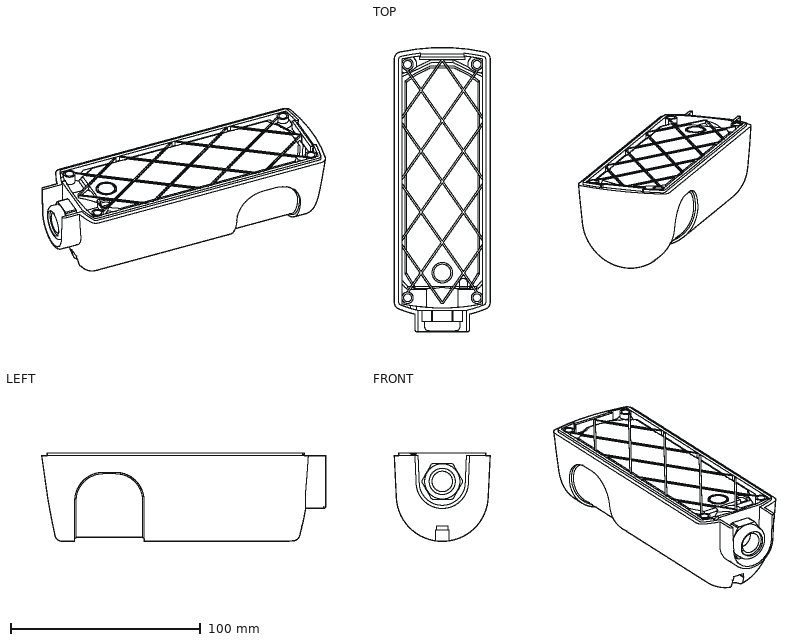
import cadquery as cq
import math


HALF_WIDTH = 25.3
HULL_DEPTH = 45.2
BELLY_RADIUS = 24.3
BACK_Y = 74.9
BACK_BOW_RADIUS = 104.8
FRONT_Y = -67.4
FRONT_BOW_RADIUS = 59.9
BACK_LEAN = 7.8
BACK_LEAN_MIDWAY = 3.3
FRONT_LEAN = 6.9
FRONT_LEAN_MIDWAY = 2.2
END_FILLET = 3.9

GRIP_Y = 39.1
GRIP_WIDTH = 36.5
GRIP_TOP_Z = -8.8
GRIP_CORNER_RADIUS = 15.0
GRIP_INSET = 2.1
GRIP_ROOT_CHAMFER = 0.7

LIP_HEIGHT = 1.3
LIP_SETBACK = 2.4
LIP_SCALLOP_X = -15.1
LIP_SCALLOP_RADIUS = 1.8
LIP_SCALLOP_DEPTH = 1.0
TRAY_HALF_WIDTH = 21.1
TRAY_FRONT_Y = -62.3
TRAY_BACK_Y = 71.0
TRAY_BOW_RADIUS = 104.8
TRAY_FLOOR_Z = -3.9
LEDGE_Z = -1.5
PLATEAU_Z = 0.1
STEP_SLOPE = 30.0
PLATEAU_FRONT_Y = -51.0
FINGER_NOTCH_X = 11.1
FINGER_NOTCH_RADIUS = 2.1
FINGER_NOTCH_LENGTH = 4.3
FINGER_NOTCH_Z = -1.0
BUTTON_Y = -43.7
BUTTON_RADIUS = 4.5
BUTTON_GROOVE_WIDTH = 0.9
BUTTON_GROOVE_DEPTH = 0.7

RIB_TOP_Z = 0.7
RIB_WIDTH = 0.9
RIB_PITCH_X = 22.3
RIB_PITCH_Y = 32.0
RIB_FRONT_Y = -59.9
RIB_BACK_Y = 68.6

BOSS_X = 18.3
BOSS_FRONT_Y = -56.9
BOSS_BACK_Y = 65.9
BOSS_PLACES = [(side * BOSS_X, y) for side in (-1, 1) for y in (BOSS_FRONT_Y, BOSS_BACK_Y)]
BOSS_RADIUS = 3.0
BOSS_FOOT_RADIUS = 4.8
BOSS_FOOT_HEIGHT = 2.1
BOSS_HOLE_RADIUS = 2.1
BOSS_HOLE_DEPTH = 6.0
BOSS_TOP_Z = 1.0

LATCH_HALF_WIDTH = 12.0
LATCH_FRONT_Y = 68.5
LATCH_BACK_Y = 71.9
LATCH_SLOT_HALF_WIDTH = 11.4
LATCH_SLOT_FRONT_Y = 70.0
LATCH_GROOVE_BACK_Y = 71.3
LATCH_GROOVE_DEPTH = 3.0

COLLAR_FRONT_Y = -74.9
COLLAR_BACK_Y = -60.6
COLLAR_TOP_HALF_WIDTH = 14.4
COLLAR_RADIUS = 13.8
COLLAR_CENTRE_Z = -14.1
COLLAR_WALL = 1.6
COLLAR_RIM_FILLET = 1.2
RECESS_WALL_Y = -63.5
GLAND_Z = -13.6
HEX_ACROSS_CORNERS = 21.9
HEX_CORNER_CHAMFER = 0.5
HEX_LENGTH = 6.0
CAP_RADIUS = 9.3
CAP_LENGTH = 4.8
CAP_FILLET = 2.1
BORE_RADIUS = 5.4
BORE_DEPTH = 9.0
COUNTERBORE_RADIUS = 6.9
COUNTERBORE_DEPTH = 1.2
SLEEVE_HALF_WIDTH = 8.2
SLEEVE_TOP_Z = -0.7

SLOT_WIDTH = 6.3
SLOT_TOP_Z = -37.0
SLOT_BACK_Y = -55.3
SLOT_LOWER_WIDTH = 7.2
SLOT_LOWER_BACK_Y = -54.7
SLOT_STEP_Z = -39.2


def hull_section(inset=0.0):
    """U section in XZ: drafted flanks running tangent into a round belly."""
    half = HALF_WIDTH - inset
    radius = BELLY_RADIUS - inset
    centre_z = BELLY_RADIUS - HULL_DEPTH
    draft = math.acos(radius / math.hypot(half, centre_z)) - math.atan2(-centre_z, half)
    spring_x = radius * math.cos(draft)
    spring_z = centre_z - radius * math.sin(draft)
    return (
        cq.Workplane("XZ")
        .moveTo(-half, 0)
        .lineTo(-spring_x, spring_z)
        .threePointArc((0, centre_z - radius), (spring_x, spring_z))
        .lineTo(half, 0)
        .close()
    )


def bowed_disc(radius, centre_y, lean, lean_midway):
    """Disc whose curved, leaning edge forms one end of the hull."""
    return (
        cq.Workplane("XZ", origin=(0, centre_y, 0))
        .lineTo(radius, 0)
        .threePointArc((radius - lean_midway, -HULL_DEPTH / 2), (radius - lean, -HULL_DEPTH))
        .lineTo(0, -HULL_DEPTH)
        .close()
        .revolve(360, (0, 0, 0), (0, 1, 0))
    )


def make_hull():
    back = hull_section().extrude(-BACK_Y)
    back_disc = bowed_disc(BACK_BOW_RADIUS, BACK_Y - BACK_BOW_RADIUS, BACK_LEAN, BACK_LEAN_MIDWAY)
    back = back.intersect(back_disc)
    back = back.faces(">Y").edges("not >Z").fillet(END_FILLET)
    front = hull_section().extrude(-FRONT_Y)
    front_disc = bowed_disc(FRONT_BOW_RADIUS, FRONT_Y + FRONT_BOW_RADIUS, FRONT_LEAN, FRONT_LEAN_MIDWAY)
    front = front.intersect(front_disc)
    front = front.faces("<Y").edges("not >Z").fillet(END_FILLET)
    return back.union(front)


def make_grip_cut():
    arch = (
        cq.Workplane("YZ", origin=(-HALF_WIDTH, 0, 0))
        .center(GRIP_Y, GRIP_TOP_Z - HULL_DEPTH / 2)
        .rect(GRIP_WIDTH, HULL_DEPTH)
        .extrude(2 * HALF_WIDTH)
        .edges("|X and >Z")
        .fillet(GRIP_CORNER_RADIUS)
    )
    core = hull_section(GRIP_INSET).extrude(-BACK_Y)
    return arch.cut(core).edges("not (<X or >X or <Z or |X)").chamfer(GRIP_ROOT_CHAMFER)


def bowed_plan(half_width, front_y, front_radius, back_y, back_radius, z):
    """Rectangle in plan with arcs for its two ends, given by the apex of each arc."""
    front_corner = front_y + front_radius - math.sqrt(front_radius**2 - half_width**2)
    back_corner = back_y - back_radius + math.sqrt(back_radius**2 - half_width**2)
    return (
        cq.Workplane("XY", origin=(0, 0, z))
        .moveTo(-half_width, front_corner)
        .threePointArc((0, front_y), (half_width, front_corner))
        .lineTo(half_width, back_corner)
        .threePointArc((0, back_y), (-half_width, back_corner))
        .close()
    )


def make_lip():
    return (
        bowed_plan(
            HALF_WIDTH - LIP_SETBACK,
            FRONT_Y + LIP_SETBACK,
            FRONT_BOW_RADIUS - LIP_SETBACK,
            BACK_Y - LIP_SETBACK,
            BACK_BOW_RADIUS - LIP_SETBACK,
            0,
        )
        .extrude(LIP_HEIGHT)
        .edges("|Z")
        .fillet(END_FILLET - LIP_SETBACK)
    )


def make_lip_scallop():
    centre_z = LIP_HEIGHT + LIP_SCALLOP_RADIUS - LIP_SCALLOP_DEPTH
    return (
        cq.Workplane("XZ", origin=(LIP_SCALLOP_X, PLATEAU_FRONT_Y, centre_z))
        .circle(LIP_SCALLOP_RADIUS)
        .extrude(PLATEAU_FRONT_Y - FRONT_Y)
    )


def tray_block(bottom_z, top_z):
    return bowed_plan(
        TRAY_HALF_WIDTH, TRAY_FRONT_Y, TRAY_BOW_RADIUS, TRAY_BACK_Y, TRAY_BOW_RADIUS, bottom_z
    ).extrude(top_z - bottom_z)


def mirrored_outline(right_points):
    left_points = [(-x, y) for x, y in reversed(right_points)]
    return right_points + left_points


def raised_step(right_points, base_z, top_z):
    """Plateau with sloping edges; the outline is that of its flat top."""
    return (
        cq.Workplane("XY", origin=(0, 0, top_z))
        .polyline(mirrored_outline(right_points))
        .close()
        .extrude(base_z - top_z, taper=-STEP_SLOPE)
    )


def make_tray_floor():
    ledge = raised_step(
        [(18.0, PLATEAU_FRONT_Y), (TRAY_HALF_WIDTH, -47.8), (TRAY_HALF_WIDTH, 59.5), (5.5, 67.0)],
        TRAY_FLOOR_Z,
        LEDGE_Z,
    )
    plateau = raised_step(
        [(14.4, PLATEAU_FRONT_Y), (18.7, -43.9), (18.7, 56.6), (14.0, 60.2), (6.0, 64.1)],
        LEDGE_Z,
        PLATEAU_Z,
    )
    finger_notch = (
        cq.Workplane("XY", origin=(FINGER_NOTCH_X, PLATEAU_FRONT_Y, FINGER_NOTCH_Z))
        .slot2D(2 * FINGER_NOTCH_LENGTH, 2 * FINGER_NOTCH_RADIUS, 90)
        .extrude(LIP_HEIGHT)
    )
    button_groove = (
        cq.Workplane("XY", origin=(0, BUTTON_Y, PLATEAU_Z))
        .circle(BUTTON_RADIUS + BUTTON_GROOVE_WIDTH)
        .circle(BUTTON_RADIUS)
        .extrude(-BUTTON_GROOVE_DEPTH)
    )
    return ledge.union(plateau).cut(finger_notch).cut(button_groove)


def make_sleeve():
    """Round back of the gland, rising through the lower tray floor."""
    return (
        cq.Workplane("XZ", origin=(0, PLATEAU_FRONT_Y, TRAY_FLOOR_Z))
        .moveTo(-SLEEVE_HALF_WIDTH, 0)
        .threePointArc((0, SLEEVE_TOP_Z - TRAY_FLOOR_Z), (SLEEVE_HALF_WIDTH, 0))
        .close()
        .extrude(PLATEAU_FRONT_Y - COLLAR_FRONT_Y)
    )


def make_lattice():
    """Zigzag ribs in both directions, clipped to the tray."""
    length = math.hypot(RIB_PITCH_X, RIB_PITCH_Y) * 2
    angle = math.degrees(math.atan2(RIB_PITCH_Y, RIB_PITCH_X))
    rib = cq.Workplane("XY", origin=(0, 0, TRAY_FLOOR_Z)).rect(length, RIB_WIDTH)
    rib = rib.extrude(RIB_TOP_Z - TRAY_FLOOR_Z)
    lattice = cq.Workplane("XY")
    crossings = round((RIB_BACK_Y - RIB_FRONT_Y) / RIB_PITCH_Y)
    for index in range(crossings + 1):
        y = RIB_FRONT_Y + index * RIB_PITCH_Y
        for direction in (angle, -angle):
            lattice = lattice.union(rib.rotate((0, 0, 0), (0, 0, 1), direction).translate((0, y, 0)))
    span = (
        cq.Workplane("XY", origin=(0, (RIB_FRONT_Y + RIB_BACK_Y) / 2, TRAY_FLOOR_Z))
        .rect(2 * TRAY_HALF_WIDTH, RIB_BACK_Y - RIB_FRONT_Y)
        .extrude(RIB_TOP_Z - TRAY_FLOOR_Z)
    )
    return lattice.intersect(span)


def make_bosses():
    posts = (
        cq.Workplane("XY", origin=(0, 0, TRAY_FLOOR_Z))
        .pushPoints(BOSS_PLACES)
        .circle(BOSS_RADIUS)
        .extrude(BOSS_TOP_Z - TRAY_FLOOR_Z)
    )
    for side in (-1, 1):
        foot = (
            cq.Workplane("XY", origin=(side * BOSS_X, BOSS_BACK_Y, TRAY_FLOOR_Z))
            .circle(BOSS_FOOT_RADIUS)
            .workplane(offset=BOSS_FOOT_HEIGHT)
            .circle(BOSS_RADIUS)
            .loft()
        )
        posts = posts.union(foot)
    return posts


def make_boss_holes():
    return (
        cq.Workplane("XY", origin=(0, 0, BOSS_TOP_Z))
        .pushPoints(BOSS_PLACES)
        .circle(BOSS_HOLE_RADIUS)
        .extrude(-BOSS_HOLE_DEPTH)
    )


def y_box(half_width, front_y, back_y, bottom_z, top_z):
    return cq.Workplane("XY").box(
        2 * half_width, back_y - front_y, top_z - bottom_z, centered=(True, False, False)
    ).translate((0, front_y, bottom_z))


def make_latch_bar():
    return y_box(LATCH_HALF_WIDTH, LATCH_FRONT_Y, LATCH_BACK_Y, TRAY_FLOOR_Z, LIP_HEIGHT)


def make_latch_slot():
    notch = y_box(LATCH_SLOT_HALF_WIDTH, LATCH_SLOT_FRONT_Y, BACK_Y, 0, LIP_HEIGHT)
    groove = y_box(
        LATCH_SLOT_HALF_WIDTH, LATCH_SLOT_FRONT_Y, LATCH_GROOVE_BACK_Y, -LATCH_GROOVE_DEPTH, 0
    )
    return notch.union(groove)


def collar_outline(inset=0.0):
    """U outline in XZ, flaring slightly from the round to the shoulder."""
    radius = COLLAR_RADIUS - inset
    top_half = COLLAR_TOP_HALF_WIDTH - inset
    return (
        cq.Workplane("XZ", origin=(0, COLLAR_FRONT_Y, 0))
        .moveTo(-top_half, 0)
        .lineTo(-radius, COLLAR_CENTRE_Z)
        .threePointArc((0, COLLAR_CENTRE_Z - radius), (radius, COLLAR_CENTRE_Z))
        .lineTo(top_half, 0)
        .close()
    )


def make_collar():
    collar = collar_outline().extrude(COLLAR_FRONT_Y - COLLAR_BACK_Y)
    return collar.faces("<Y").edges("%CIRCLE").fillet(COLLAR_RIM_FILLET)


def make_collar_recess():
    """Open-topped pocket around the gland, also trimming the lip in front of its back wall."""
    pocket = collar_outline(COLLAR_WALL).extrude(COLLAR_FRONT_Y - RECESS_WALL_Y)
    lip_trim = y_box(COLLAR_TOP_HALF_WIDTH, COLLAR_FRONT_Y, RECESS_WALL_Y, 0, LIP_HEIGHT)
    return pocket.union(lip_trim)


def make_gland():
    face = cq.Workplane("XZ", origin=(0, RECESS_WALL_Y, GLAND_Z))
    hexagon = face.polygon(6, HEX_ACROSS_CORNERS).extrude(HEX_LENGTH)
    hexagon = hexagon.edges("|Y").chamfer(HEX_CORNER_CHAMFER)
    cap = face.workplane(offset=HEX_LENGTH).circle(CAP_RADIUS).extrude(CAP_LENGTH)
    cap = cap.faces("<Y").edges().fillet(CAP_FILLET)
    mouth = face.workplane(offset=HEX_LENGTH + CAP_LENGTH)
    bore = mouth.circle(BORE_RADIUS).extrude(-BORE_DEPTH)
    counterbore = mouth.circle(COUNTERBORE_RADIUS).extrude(-COUNTERBORE_DEPTH)
    return hexagon.union(cap).cut(bore).cut(counterbore)


def round_backed_slot(width, back_y, top_z):
    """Slot running out through the front end and the belly, with a half-round back."""
    length = 4 * width
    return (
        cq.Workplane("XY", origin=(0, back_y - length / 2, top_z))
        .slot2D(length, width, 90)
        .extrude(-HULL_DEPTH)
    )


def make_drain_slot():
    upper = round_backed_slot(SLOT_WIDTH, SLOT_BACK_Y, SLOT_TOP_Z)
    lower = round_backed_slot(SLOT_LOWER_WIDTH, SLOT_LOWER_BACK_Y, SLOT_STEP_Z)
    return upper.union(lower)


tray_fill = (
    make_tray_floor()
    .union(make_sleeve())
    .union(make_lattice())
    .union(make_bosses())
    .intersect(tray_block(TRAY_FLOOR_Z, LIP_HEIGHT))
)

result = (
    make_hull()
    .cut(make_grip_cut())
    .union(make_collar())
    .union(make_lip().cut(make_lip_scallop()))
    .cut(tray_block(TRAY_FLOOR_Z, LIP_HEIGHT))
    .union(tray_fill)
    .union(make_latch_bar())
    .cut(make_latch_slot())
    .cut(make_boss_holes())
    .cut(make_collar_recess())
    .union(make_gland())
    .cut(make_drain_slot())
    .solids()
)